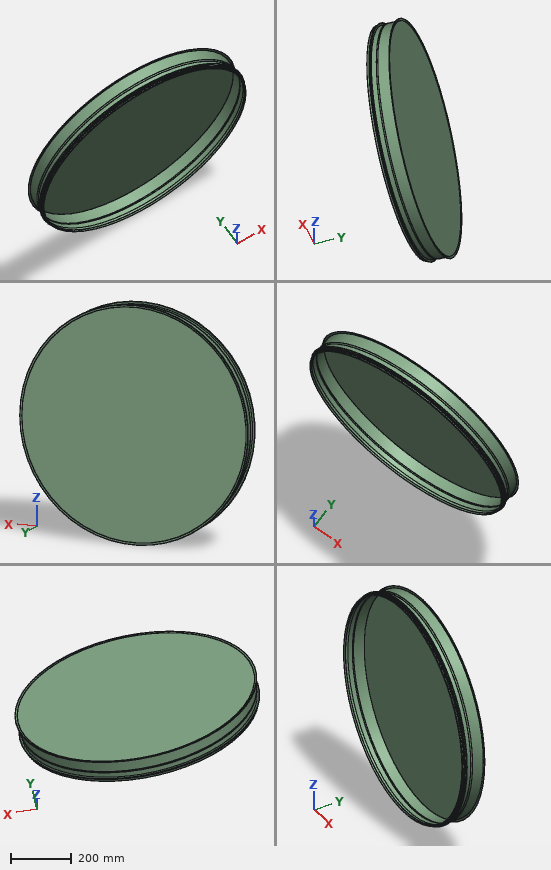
import cadquery as cq

total_length = 82.0
wall = 1.0

disc_radius = 814.0 / 2
disc_bevel = 1.2
disc_thickness = 2.5

tube_radius = 799.0 / 2
step_start = 39.0
step_end = 33.0
spigot_back_radius = 795.0 / 2
spigot_front_radius = 794.0 / 2
spigot_front = 7.0

seal_back = 16.0
seal_radius = tube_radius
nose_length = 1.2
lip_root_radius = 804.0 / 2
lip_tip_radius = 810.0 / 2
lip_crest_radius = 807.0 / 2
lip_tip = seal_back - 1.0
lip_crest = seal_back - 2.5
lip_shoulder = seal_back - 6.0
lip_foot = seal_back - 8.0

disc_front = total_length - disc_thickness
spigot_bore = spigot_front_radius - wall
spigot_taper = (spigot_back_radius - spigot_front_radius) / (step_end - spigot_front)
seal_back_bore = spigot_front_radius + spigot_taper * (seal_back - spigot_front)


def turned(profile):
    """Turn a closed profile of (radius, Y) points one full circle about the Y axis."""
    axis_start = (0, 0, 0)
    axis_end = (0, 1, 0)
    return cq.Workplane("XY").polyline(profile).close().revolve(360, axis_start, axis_end)


def make_disc():
    """Flat end plate whose rim narrows towards its back face."""
    return turned([
        (0, disc_front),
        (disc_radius, disc_front),
        (disc_radius - disc_bevel, total_length),
        (0, total_length),
    ])


def make_tube():
    """Thin sheet tube that steps down to the spigot."""
    outside = [
        (tube_radius, disc_front),
        (tube_radius, step_start),
        (spigot_back_radius, step_end),
        (spigot_front_radius, spigot_front),
    ]
    inside = [(radius - wall, y) for radius, y in reversed(outside)]
    return turned(outside + inside)


def make_seal():
    """Seal ring that fits the spigot, with its lip flared towards the disc."""
    lip = [
        (lip_root_radius, seal_back),
        (lip_tip_radius, lip_tip),
        (lip_crest_radius, lip_crest),
        (lip_root_radius, lip_shoulder),
        (seal_radius, lip_foot),
    ]
    nose = [
        (seal_radius, nose_length),
        (spigot_bore, 0),
        (spigot_bore, spigot_front),
    ]
    bore = [
        (spigot_front_radius, spigot_front),
        (seal_back_bore, seal_back),
    ]
    return turned(lip + nose + bore)


disc = make_disc()
tube = make_tube()
seal = make_seal()

result = cq.Compound.makeCompound([disc.val(), tube.val(), seal.val()])